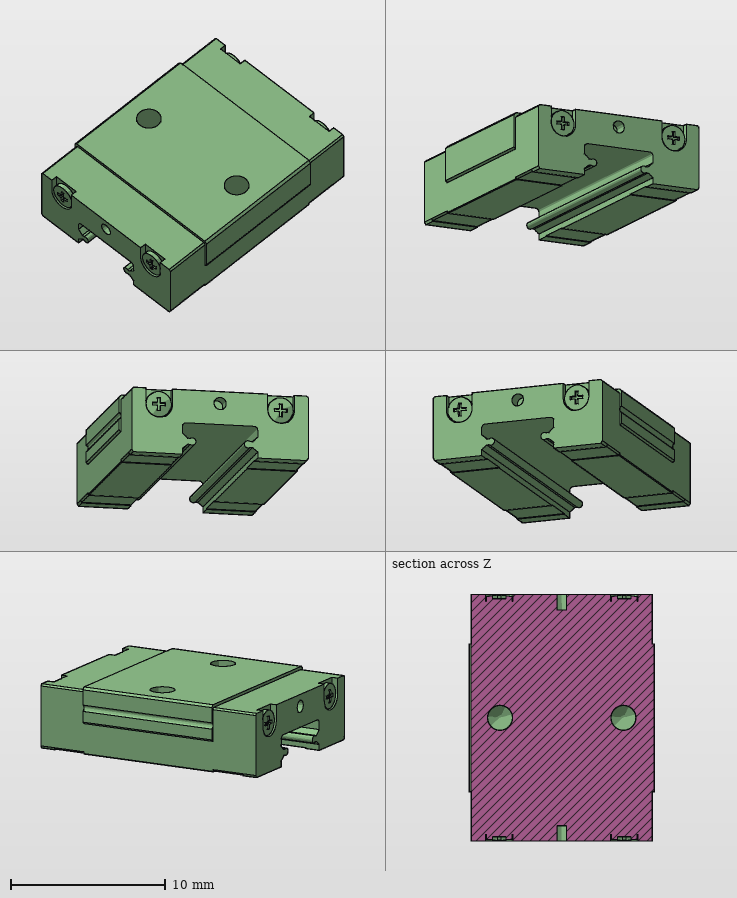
import cadquery as cq
import math

LENGTH = 16.0
WIDTH = 12.0
HEIGHT = 4.5

BODY_LENGTH = 9.6
BODY_TOP_CHAMFER = 0.16
BODY_BOTTOM_CHAMFER = 0.05
BODY_LOWER_WIDTH = 11.75
STEP_TOP_Z = 2.18
GROOVE_CENTRE_Z = 3.11
GROOVE_WIDTH = 0.42
GROOVE_DEPTH = 0.15

END_WIDTH = 11.75
END_HEIGHT = 4.3
END_CAP_THICKNESS = 1.0
END_BLOCK_BOTTOM_Z = 0.05
END_TOP_CHAMFER = 0.12
END_BOTTOM_CHAMFER_X = 0.1
END_BOTTOM_CHAMFER_TOP_Z = 0.17

CHANNEL_HALF_WIDTH = 2.5
CHANNEL_TOP_Z = 2.1
CHANNEL_FILLET = 0.25
LIP_ROOT_TOP_Z = 1.4
LIP_ROOT_BOTTOM_Z = 0.4
LIP_CENTRE_Z = 0.88
LIP_BULB_RADIUS = 0.24
LIP_NECK_HALF_HEIGHT = 0.2
LIP_TIP_X = 1.61
LIP_NECK_X = 2.15

MOUNT_HOLE_X = 4.0
MOUNT_HOLE_DIAMETER = 1.6
MOUNT_HOLE_DEPTH = 2.5
DRILL_POINT_ANGLE = 118.0

OIL_HOLE_DIAMETER = 0.8
OIL_HOLE_Z = 3.5

SCREW_X = 4.05
SCREW_Z = 3.28
POCKET_RADIUS = 0.89
POCKET_DEPTH = 0.43
HEAD_RADIUS = 0.84
HEAD_SIDE_HEIGHT = 0.31
HEAD_HEIGHT = 0.4
CROSS_LENGTH = 0.86
CROSS_WIDTH = 0.2
CROSS_DEPTH = 0.25


def extrude_along_y(outline, start_y, end_y):
    """Extrude an XZ outline between two Y positions."""
    return outline.extrude(start_y - end_y).translate((0, start_y, 0))


def make_body():
    """Body with a shallow round groove along its -X side."""
    half = WIDTH / 2
    lower_half = BODY_LOWER_WIDTH / 2
    step_bottom_z = STEP_TOP_Z - (half - lower_half)
    outline = (
        cq.Workplane("XZ")
        .moveTo(-lower_half + BODY_BOTTOM_CHAMFER, 0)
        .lineTo(lower_half - BODY_BOTTOM_CHAMFER, 0)
        .lineTo(lower_half, BODY_BOTTOM_CHAMFER)
        .lineTo(lower_half, step_bottom_z)
        .lineTo(half, STEP_TOP_Z)
        .lineTo(half, HEIGHT - BODY_TOP_CHAMFER)
        .lineTo(half - BODY_TOP_CHAMFER, HEIGHT)
        .lineTo(-half + BODY_TOP_CHAMFER, HEIGHT)
        .lineTo(-half, HEIGHT - BODY_TOP_CHAMFER)
        .lineTo(-half, GROOVE_CENTRE_Z + GROOVE_WIDTH / 2)
        .threePointArc((-half + GROOVE_DEPTH, GROOVE_CENTRE_Z), (-half, GROOVE_CENTRE_Z - GROOVE_WIDTH / 2))
        .lineTo(-half, STEP_TOP_Z)
        .lineTo(-lower_half, step_bottom_z)
        .lineTo(-lower_half, BODY_BOTTOM_CHAMFER)
        .close()
    )
    return extrude_along_y(outline, -BODY_LENGTH / 2, BODY_LENGTH / 2)


def make_end_section(start_y, end_y, bottom_z):
    """Section of the end outline between two Y positions."""
    half = END_WIDTH / 2
    bottom_half = half - END_BOTTOM_CHAMFER_X
    outline = (
        cq.Workplane("XZ")
        .moveTo(-bottom_half, bottom_z)
        .lineTo(bottom_half, bottom_z)
        .lineTo(half, END_BOTTOM_CHAMFER_TOP_Z)
        .lineTo(half, END_HEIGHT - END_TOP_CHAMFER)
        .lineTo(half - END_TOP_CHAMFER, END_HEIGHT)
        .lineTo(-half + END_TOP_CHAMFER, END_HEIGHT)
        .lineTo(-half, END_HEIGHT - END_TOP_CHAMFER)
        .lineTo(-half, END_BOTTOM_CHAMFER_TOP_Z)
        .close()
    )
    return extrude_along_y(outline, start_y, end_y)


def make_lip(side):
    """Tapered lip ending in a thin neck and a round bulb, on the +X (1) or -X (-1) wall of the channel."""
    wall_x = side * CHANNEL_HALF_WIDTH
    neck_x = side * LIP_NECK_X
    bulb_centre_x = LIP_TIP_X + LIP_BULB_RADIUS
    bulb_start_x = side * (bulb_centre_x + math.sqrt(LIP_BULB_RADIUS**2 - LIP_NECK_HALF_HEIGHT**2))
    neck_bottom_z = LIP_CENTRE_Z - LIP_NECK_HALF_HEIGHT
    neck_top_z = LIP_CENTRE_Z + LIP_NECK_HALF_HEIGHT
    outline = (
        cq.Workplane("XZ")
        .moveTo(wall_x, LIP_ROOT_BOTTOM_Z)
        .lineTo(neck_x, neck_bottom_z)
        .lineTo(bulb_start_x, neck_bottom_z)
        .threePointArc((side * LIP_TIP_X, LIP_CENTRE_Z), (bulb_start_x, neck_top_z))
        .lineTo(neck_x, neck_top_z)
        .lineTo(wall_x, LIP_ROOT_TOP_Z)
        .close()
    )
    return extrude_along_y(outline, -LENGTH / 2, LENGTH / 2)


def make_channel():
    """Space cut out for the rail."""
    channel = (
        cq.Workplane("XY")
        .box(2 * CHANNEL_HALF_WIDTH, LENGTH, CHANNEL_TOP_Z, centered=(True, True, False))
        .edges("|Y and >Z")
        .fillet(CHANNEL_FILLET)
    )
    for side in (-1, 1):
        channel = channel.cut(make_lip(side))
    return channel


def make_mount_hole(x):
    """Blind drilled hole with a conical bottom."""
    radius = MOUNT_HOLE_DIAMETER / 2
    point_depth = radius / math.tan(math.radians(DRILL_POINT_ANGLE / 2))
    return (
        cq.Workplane("XZ")
        .moveTo(0, HEIGHT)
        .lineTo(radius, HEIGHT)
        .lineTo(radius, HEIGHT - MOUNT_HOLE_DEPTH)
        .lineTo(0, HEIGHT - MOUNT_HOLE_DEPTH - point_depth)
        .close()
        .revolve(360, (0, 0), (0, 1))
        .translate((x, 0, 0))
    )


def make_pocket(x):
    """U-shaped pocket at the -Y end, open at the top."""
    outline = (
        cq.Workplane("XZ")
        .moveTo(x - POCKET_RADIUS, END_HEIGHT)
        .lineTo(x - POCKET_RADIUS, SCREW_Z)
        .threePointArc((x, SCREW_Z - POCKET_RADIUS), (x + POCKET_RADIUS, SCREW_Z))
        .lineTo(x + POCKET_RADIUS, END_HEIGHT)
        .close()
    )
    return extrude_along_y(outline, -LENGTH / 2, -LENGTH / 2 + POCKET_DEPTH)


def make_screw_head(x):
    """Head with a shallow conical face on the floor of the pocket at the -Y end, with a cross recess."""
    head = (
        cq.Workplane("XY")
        .moveTo(0, 0)
        .lineTo(HEAD_RADIUS, 0)
        .lineTo(HEAD_RADIUS, -HEAD_SIDE_HEIGHT)
        .lineTo(0, -HEAD_HEIGHT)
        .close()
        .revolve(360, (0, 0), (0, 1))
    )
    recess_y = -HEAD_HEIGHT + CROSS_DEPTH / 2
    for size_x, size_z in ((CROSS_LENGTH, CROSS_WIDTH), (CROSS_WIDTH, CROSS_LENGTH)):
        head = head.cut(cq.Workplane("XY").box(size_x, CROSS_DEPTH, size_z).translate((0, recess_y, 0)))
    return head.translate((x, -LENGTH / 2 + POCKET_DEPTH, SCREW_Z))


def make_oil_hole():
    """Lubrication hole through the end cap at the -Y end."""
    outline = cq.Workplane("XZ").center(0, OIL_HOLE_Z).circle(OIL_HOLE_DIAMETER / 2)
    return extrude_along_y(outline, -LENGTH / 2, -LENGTH / 2 + END_CAP_THICKNESS)


def at_both_ends(shape):
    """The shape at the -Y end together with its mirror image at the +Y end."""
    return shape, shape.mirror("XZ")


cap_inner_y = -LENGTH / 2 + END_CAP_THICKNESS
end_cap = make_end_section(-LENGTH / 2, cap_inner_y, 0)
end_block = make_end_section(cap_inner_y, -BODY_LENGTH / 2, END_BLOCK_BOTTOM_Z)

result = make_body()
for section in (end_block, end_cap):
    for end_section in at_both_ends(section):
        result = result.union(end_section)
result = result.cut(make_channel())

for oil_hole in at_both_ends(make_oil_hole()):
    result = result.cut(oil_hole)

for side in (-1, 1):
    result = result.cut(make_mount_hole(side * MOUNT_HOLE_X))
    for pocket in at_both_ends(make_pocket(side * SCREW_X)):
        result = result.cut(pocket)
    for screw_head in at_both_ends(make_screw_head(side * SCREW_X)):
        result = result.union(screw_head)